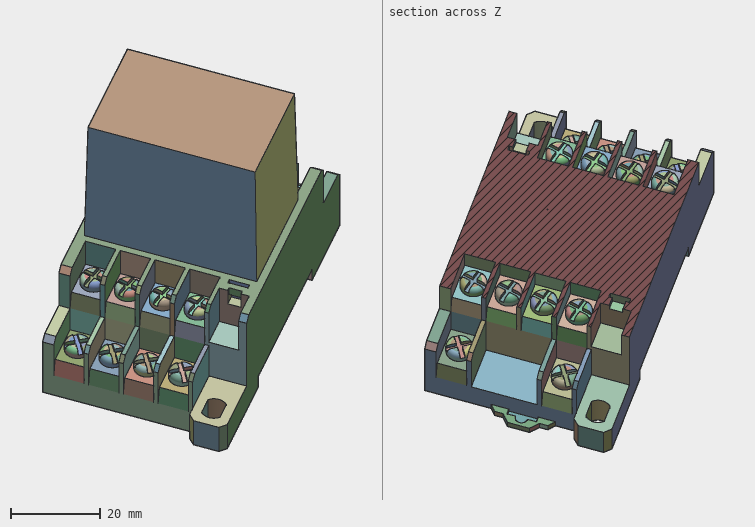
import cadquery as cq
import math

BASE_WIDTH = 45.0
UPPER_HALF = 25.1
LOWER_HALF = 35.7
LOWER_TOP = 17.9
UPPER_TOP = 29.9
STEP_CHAMFER = 1.4

CHANNEL_HALF = 17.5
CHANNEL_HEIGHT = 3.5
HOOK_REACH = 2.5
HOOK_TOP = 1.65
HOOK_LIP = 0.5

TOTAL_LENGTH = 78.5
EAR_WIDTH = 9.0
EAR_HEIGHT = 7.9
EAR_CHAMFER = 1.5
EAR_HOLE_DIAMETER = 6.05
EAR_HOLE_WIDTH = 4.4
EAR_HOLE_Y = -34.15

WELL_COUNT = 4
WELL_WIDTH = 7.2
WELL_PITCH = 8.3
FIRST_WELL_X = -16.2
UPPER_WELL_REAR = -15.1
PEDESTAL_HEIGHT = 4.5
PEDESTAL_SLOPE = 0.9
LOWER_WELL_FLOOR = 6.4
UPPER_SCREW_Y = -19.7
LOWER_SCREW_Y = -30.0

SCREW_RADIUS = 3.1
SCREW_RIM_HEIGHT = 1.2
SCREW_CROWN_HEIGHT = 1.0
SCREW_FLAT_RADIUS = 2.0
SCREW_SLOT_WIDTH = 1.1
UPPER_SLOT_ANGLE = 76
LOWER_SLOT_ANGLE = 33

POCKET_LEFT = 13.4
POCKET_WIDTH = 7.15
POCKET_FLOOR = 19.0
POCKET_REAR = -18.3
LATCH_X = 17.0
LATCH_WIDTH = 3.15
LATCH_DEPTH = 0.9
LATCH_FLOOR = 25.5
LATCH_WINDOW_TOP = 27.7
SLIT_WIDTH = 4.8
SLIT_FRONT = -16.0
SLIT_REAR = -15.1
SLIT_FLOOR = 23.55

CLIP_X = -0.9
CLIP_THICKNESS = HOOK_TOP
CLIP_ROOT_HALF = 7.6
CLIP_SHOULDER_OUTER = 6.3
CLIP_SHOULDER_INNER = 4.3
CLIP_TIP_HALF = 2.6
CLIP_SHOULDER_REACH = 1.6
CLIP_RECESS_HALF = 3.45
CLIP_RECESS_REACH = 1.3
CLIP_RECESS_RADIUS = 1.4
CLIP_RECESS_DEPTH = 0.8

RELAY_TOP = 65.0
RELAY_WIDTH = 41.3
RELAY_LENGTH = 27.0
RELAY_TAPER = 0.6

HALF_WIDTH = BASE_WIDTH / 2
HALF_LENGTH = TOTAL_LENGTH / 2
EAR_LEFT = HALF_WIDTH - EAR_WIDTH
WELL_CENTERS = [FIRST_WELL_X + i * WELL_PITCH for i in range(WELL_COUNT)]


def box(x0, x1, y0, y1, z0, z1):
    return cq.Workplane("XY").box(x1 - x0, y1 - y0, z1 - z0, centered=False).translate((x0, y0, z0))


def half_turn(shape):
    return shape.rotate((0, 0, 0), (0, 0, 1), 180)


def side_profile(points, x_center, width):
    """Extrude a (y, z) outline along X, centred on x_center."""
    return cq.Workplane("YZ", origin=(x_center - width / 2, 0, 0)).polyline(points).close().extrude(width)


def stepped_base():
    half_outline = [
        (LOWER_HALF, 0),
        (LOWER_HALF, LOWER_TOP - STEP_CHAMFER),
        (LOWER_HALF - STEP_CHAMFER, LOWER_TOP),
        (UPPER_HALF, LOWER_TOP),
        (UPPER_HALF, UPPER_TOP - STEP_CHAMFER),
        (UPPER_HALF - STEP_CHAMFER, UPPER_TOP),
    ]
    mirrored = [(-y, z) for y, z in reversed(half_outline)]
    base = side_profile(half_outline + mirrored, 0, BASE_WIDTH)
    channel = box(-HALF_WIDTH, HALF_WIDTH, -CHANNEL_HALF, CHANNEL_HALF, 0, CHANNEL_HEIGHT)
    return base.cut(channel)


def well(x_center, rear, front, floor):
    """Cutter for a terminal well, leaving a pedestal with a sloping front."""
    shelf = floor + PEDESTAL_HEIGHT
    outline = [
        (rear, shelf),
        (front + PEDESTAL_SLOPE, shelf),
        (front, floor),
        (front, UPPER_TOP),
        (rear, UPPER_TOP),
    ]
    return side_profile(outline, x_center, WELL_WIDTH)


def upper_well(x_center):
    return well(x_center, UPPER_WELL_REAR, -UPPER_HALF, LOWER_TOP)


def lower_well(x_center):
    return well(x_center, -UPPER_HALF, -LOWER_HALF, LOWER_WELL_FLOOR)


def corner_clearance():
    """Cutter that opens the space above a mounting ear."""
    return box(EAR_LEFT, HALF_WIDTH, -LOWER_HALF, -UPPER_HALF, EAR_HEIGHT, LOWER_TOP)


def latch_pocket():
    """Cutter for the open pocket, its latch groove, and the slit it leads to."""
    groove_left = LATCH_X - LATCH_WIDTH / 2
    groove_right = LATCH_X + LATCH_WIDTH / 2
    groove_rear = POCKET_REAR + LATCH_DEPTH
    slit_left = LATCH_X - SLIT_WIDTH / 2
    slit_right = LATCH_X + SLIT_WIDTH / 2
    pocket = box(POCKET_LEFT, POCKET_LEFT + POCKET_WIDTH, -UPPER_HALF, POCKET_REAR, POCKET_FLOOR, UPPER_TOP)
    groove = box(groove_left, groove_right, POCKET_REAR, groove_rear, LATCH_FLOOR, UPPER_TOP)
    window = box(groove_left, groove_right, groove_rear, SLIT_REAR, LATCH_FLOOR, LATCH_WINDOW_TOP)
    slit = box(slit_left, slit_right, SLIT_FRONT, SLIT_REAR, SLIT_FLOOR, UPPER_TOP)
    return pocket.union(groove).union(window).union(slit)


def mounting_ear():
    ear = box(EAR_LEFT, HALF_WIDTH, -HALF_LENGTH, -UPPER_HALF, 0, EAR_HEIGHT)
    return ear.edges("|Z and <Y").chamfer(EAR_CHAMFER)


def ear_hole():
    """Cutter: a round hole narrowed by two flats."""
    center = (HALF_WIDTH - EAR_WIDTH / 2, EAR_HOLE_Y)
    round_hole = cq.Workplane("XY").center(*center).circle(EAR_HOLE_DIAMETER / 2).extrude(EAR_HEIGHT)
    flats = cq.Workplane("XY").center(*center).rect(EAR_HOLE_WIDTH, EAR_HOLE_DIAMETER).extrude(EAR_HEIGHT)
    return round_hole.intersect(flats)


def screw_head(slot_angle):
    """Crowned cross-slot head standing on Z = 0."""
    top = SCREW_RIM_HEIGHT + SCREW_CROWN_HEIGHT
    crown_run = SCREW_RADIUS - SCREW_FLAT_RADIUS
    crown_radius = (crown_run**2 + SCREW_CROWN_HEIGHT**2) / (2 * SCREW_CROWN_HEIGHT)
    half_sweep = math.asin(crown_run / crown_radius) / 2
    crown_mid = (
        SCREW_FLAT_RADIUS + crown_radius * math.sin(half_sweep),
        top - crown_radius * (1 - math.cos(half_sweep)),
    )
    head = (
        cq.Workplane("XZ")
        .lineTo(SCREW_RADIUS, 0)
        .lineTo(SCREW_RADIUS, SCREW_RIM_HEIGHT)
        .threePointArc(crown_mid, (SCREW_FLAT_RADIUS, top))
        .lineTo(0, top)
        .close()
        .revolve(360, (0, 0), (0, 1))
    )
    for angle in (slot_angle, slot_angle + 90):
        slot = (
            cq.Workplane("XY", origin=(0, 0, SCREW_RIM_HEIGHT))
            .rect(2 * SCREW_RADIUS, SCREW_SLOT_WIDTH)
            .extrude(SCREW_CROWN_HEIGHT)
            .rotate((0, 0, 0), (0, 0, 1), angle)
        )
        head = head.cut(slot)
    return head


def rail_hook():
    """Hook on the front side of the rail channel, with a sloping underside."""
    outline = [
        (-CHANNEL_HALF, 0),
        (-CHANNEL_HALF + HOOK_REACH, HOOK_TOP - HOOK_LIP),
        (-CHANNEL_HALF + HOOK_REACH, HOOK_TOP),
        (-CHANNEL_HALF, HOOK_TOP),
    ]
    return side_profile(outline, -CLIP_X, 2 * CLIP_ROOT_HALF)


def release_clip():
    shoulder_y = LOWER_HALF + CLIP_SHOULDER_REACH
    half_outline = [
        (CLIP_ROOT_HALF, LOWER_HALF),
        (CLIP_SHOULDER_OUTER, shoulder_y),
        (CLIP_SHOULDER_INNER, shoulder_y),
        (CLIP_TIP_HALF, HALF_LENGTH),
    ]
    mirrored = [(-x, y) for x, y in reversed(half_outline)]
    clip = cq.Workplane("XY").polyline(half_outline + mirrored).close().extrude(CLIP_THICKNESS)
    recess_y = LOWER_HALF + CLIP_RECESS_REACH
    recess = (
        cq.Workplane("XY", origin=(0, 0, CLIP_THICKNESS - CLIP_RECESS_DEPTH))
        .moveTo(-CLIP_RECESS_HALF, LOWER_HALF)
        .lineTo(-CLIP_RECESS_HALF, recess_y)
        .lineTo(-CLIP_RECESS_RADIUS, recess_y)
        .threePointArc((0, recess_y + CLIP_RECESS_RADIUS), (CLIP_RECESS_RADIUS, recess_y))
        .lineTo(CLIP_RECESS_HALF, recess_y)
        .lineTo(CLIP_RECESS_HALF, LOWER_HALF)
        .close()
        .extrude(CLIP_RECESS_DEPTH)
    )
    return clip.cut(recess).translate((CLIP_X, 0, 0))


def rear_recess():
    """Cutter that replaces the two middle lower wells at the rear."""
    left = -WELL_CENTERS[2] - WELL_WIDTH / 2
    right = -WELL_CENTERS[1] + WELL_WIDTH / 2
    return box(left, right, UPPER_HALF, LOWER_HALF, LOWER_WELL_FLOOR, LOWER_TOP)


def relay_case():
    return (
        cq.Workplane("XY", origin=(0, 0, UPPER_TOP))
        .rect(RELAY_WIDTH, RELAY_LENGTH)
        .workplane(offset=RELAY_TOP - UPPER_TOP)
        .rect(RELAY_WIDTH - 2 * RELAY_TAPER, RELAY_LENGTH - 2 * RELAY_TAPER)
        .loft(ruled=True)
    )


body = stepped_base()
for end_cutter in (corner_clearance(), latch_pocket()):
    body = body.cut(end_cutter).cut(half_turn(end_cutter))
for end_addition in (mounting_ear(), rail_hook()):
    body = body.union(end_addition).union(half_turn(end_addition))
body = body.cut(ear_hole()).cut(half_turn(ear_hole()))

for x in WELL_CENTERS:
    body = body.cut(upper_well(x)).cut(half_turn(upper_well(x))).cut(lower_well(x))
for x in (WELL_CENTERS[0], WELL_CENTERS[-1]):
    body = body.cut(half_turn(lower_well(x)))
body = body.cut(rear_recess())

upper_screw = screw_head(UPPER_SLOT_ANGLE)
lower_screw = screw_head(LOWER_SLOT_ANGLE)
upper_shelf = LOWER_TOP + PEDESTAL_HEIGHT
lower_shelf = LOWER_WELL_FLOOR + PEDESTAL_HEIGHT
for x in WELL_CENTERS:
    body = body.union(upper_screw.translate((x, UPPER_SCREW_Y, upper_shelf)))
    body = body.union(upper_screw.translate((-x, -UPPER_SCREW_Y, upper_shelf)))
    body = body.union(lower_screw.translate((x, LOWER_SCREW_Y, lower_shelf)))
for x in (WELL_CENTERS[0], WELL_CENTERS[-1]):
    body = body.union(lower_screw.translate((-x, -LOWER_SCREW_Y, lower_shelf)))

result = body.union(release_clip()).union(relay_case())